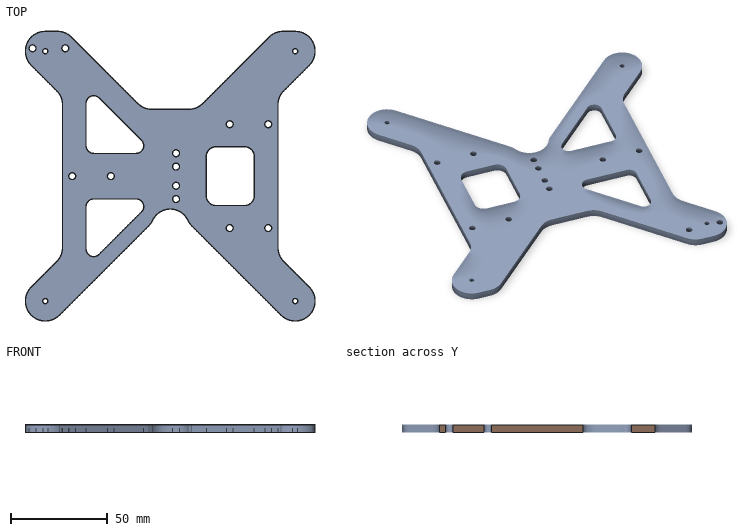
import cadquery as cq
import math

size = 150.0
thickness = 4.0
arm_radius = 10.4
tip = size / 2 - arm_radius
arm_offset = arm_radius * math.sqrt(2)
body_half_width = 55.8
body_top = 34.6
upper_edge_sum = 20.8
corner_radius = 10.0

notch_radius = 10.0
notch_top = -17.1
notch_center = notch_top - notch_radius

triangle_radius = 3.9
triangle_left = -43.5
triangle_bottom = 11.8
triangle_edge_sum = 3.6
rectangle_width = 24.8
rectangle_height = 30.3
rectangle_radius = 5.0
rectangle_center = (31.0, 0)

tip_hole_diameter = 2.5
screw_hole_diameter = 3.5
right_hole_columns = (30.8, 50.7)
right_hole_height = 26.8
left_hole_columns = (-50.7, -30.8)
center_hole_column = 3.0
center_hole_heights = (5.0, 11.8)
corner_hole_columns = (-71.2, -54.3)
corner_hole_height = 66.2


def fillet_edge_at(solid, x, y, radius):
    """Round the vertical edge standing at (x, y)."""
    edge = cq.selectors.NearestToPointSelector((x, y, thickness / 2))
    return solid.edges("|Z").edges(edge).fillet(radius)


def make_outline():
    """X-shaped plate, mirrored about the YZ plane."""
    tangent = arm_radius / math.sqrt(2)
    diagonal = tip + tangent
    side_corner = body_half_width - arm_offset
    top_corner = size / 2 - upper_edge_sum
    waist_corner = body_top - upper_edge_sum
    drop = -arm_offset - notch_center
    notch_edge_x = (drop + math.sqrt(2 * notch_radius**2 - drop**2)) / 2
    notch_angle = math.asin(notch_edge_x / notch_radius)
    half = (
        cq.Workplane("XY")
        .moveTo(0, body_top)
        .lineTo(waist_corner, body_top)
        .lineTo(top_corner, size / 2)
        .lineTo(tip, size / 2)
        .threePointArc((diagonal, diagonal), (size / 2, tip))
        .threePointArc(
            (tip + arm_radius * math.cos(math.pi / 8), tip - arm_radius * math.sin(math.pi / 8)),
            (diagonal, tip - tangent),
        )
        .lineTo(body_half_width, side_corner)
        .lineTo(body_half_width, -side_corner)
        .lineTo(diagonal, tangent - tip)
        .threePointArc((diagonal, -diagonal), (tip - tangent, -diagonal))
        .lineTo(notch_edge_x, -arm_offset - notch_edge_x)
        .threePointArc(
            (notch_radius * math.sin(notch_angle / 2), notch_center + notch_radius * math.cos(notch_angle / 2)),
            (0, notch_top),
        )
        .close()
        .extrude(thickness)
    )
    for x, y in (
        (waist_corner, body_top),
        (top_corner, size / 2),
        (body_half_width, side_corner),
        (body_half_width, -side_corner),
        (notch_edge_x, -arm_offset - notch_edge_x),
    ):
        half = fillet_edge_at(half, x, y, corner_radius)
    return half.union(half.mirror("YZ"))


def cut_windows(plate):
    triangle_corners = [
        (triangle_left, triangle_bottom),
        (triangle_edge_sum - triangle_bottom, triangle_bottom),
        (triangle_left, triangle_edge_sum - triangle_left),
    ]
    triangle = (
        cq.Workplane("XY")
        .polyline(triangle_corners)
        .close()
        .extrude(thickness)
        .edges("|Z")
        .fillet(triangle_radius)
    )
    rectangle = (
        cq.Workplane("XY")
        .center(*rectangle_center)
        .rect(rectangle_width, rectangle_height)
        .extrude(thickness)
        .edges("|Z")
        .fillet(rectangle_radius)
    )
    return plate.cut(triangle).cut(triangle.mirror("XZ")).cut(rectangle)


def cut_holes(plate, points, diameter):
    holes = cq.Workplane("XY").pushPoints(points).circle(diameter / 2).extrude(thickness)
    return plate.cut(holes)


tip_holes = [(x * tip, y * tip) for x in (-1, 1) for y in (-1, 1)]
screw_holes = [(x, side * right_hole_height) for x in right_hole_columns for side in (-1, 1)]
screw_holes += [(center_hole_column, side * y) for y in center_hole_heights for side in (-1, 1)]
screw_holes += [(x, 0) for x in left_hole_columns]
screw_holes += [(x, corner_hole_height) for x in corner_hole_columns]

result = make_outline()
result = cut_windows(result)
result = cut_holes(result, tip_holes, tip_hole_diameter)
result = cut_holes(result, screw_holes, screw_hole_diameter)